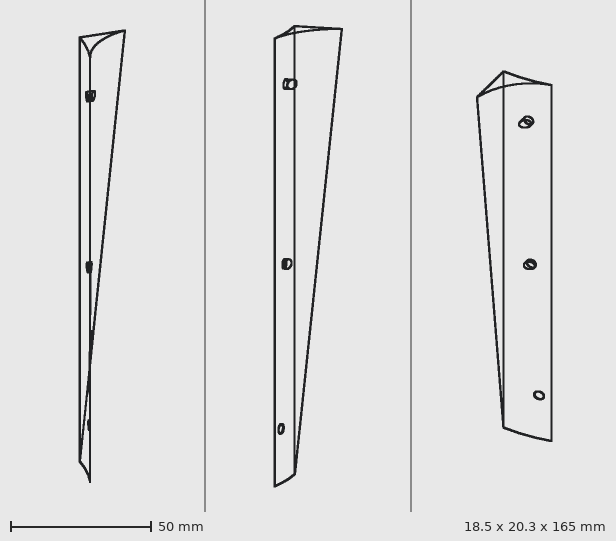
import cadquery as cq

length = 165.0
width = 18.5
depth = 20.3

corner_y = 3.0
lower_thickness = 0.2

front_bow = 0.7
back_bow_lower = front_bow
back_bow_upper = -3.6

hole_diameter = 3.5
hole_places = [(14.0, 20.1), (11.0, 80.2), (10.0, 146.2)]


def bowed_midpoint(side_y, bow):
    """Middle of an edge from the flat side (x = 0) to the sharp tip (y = 0)."""
    chord = (width**2 + side_y**2) ** 0.5
    return (width / 2 + bow * side_y / chord, side_y / 2 + bow * width / chord)


def section(workplane, back_y, back_bow):
    """Three-sided outline: flat side, curved back and curved front meeting at the tip."""
    tip = (width, 0)
    return (
        workplane.moveTo(0, corner_y)
        .lineTo(0, back_y)
        .threePointArc(bowed_midpoint(back_y, back_bow), tip)
        .threePointArc(bowed_midpoint(corner_y, front_bow), (0, corner_y))
        .close()
    )


lower = section(cq.Workplane("XY"), corner_y + lower_thickness, back_bow_lower)
both_ends = section(lower.workplane(offset=length), depth, back_bow_upper)
body = both_ends.loft(ruled=True)

drills = (
    cq.Workplane("XZ")
    .pushPoints(hole_places)
    .circle(hole_diameter / 2)
    .extrude(-depth)
)
result = body.cut(drills)